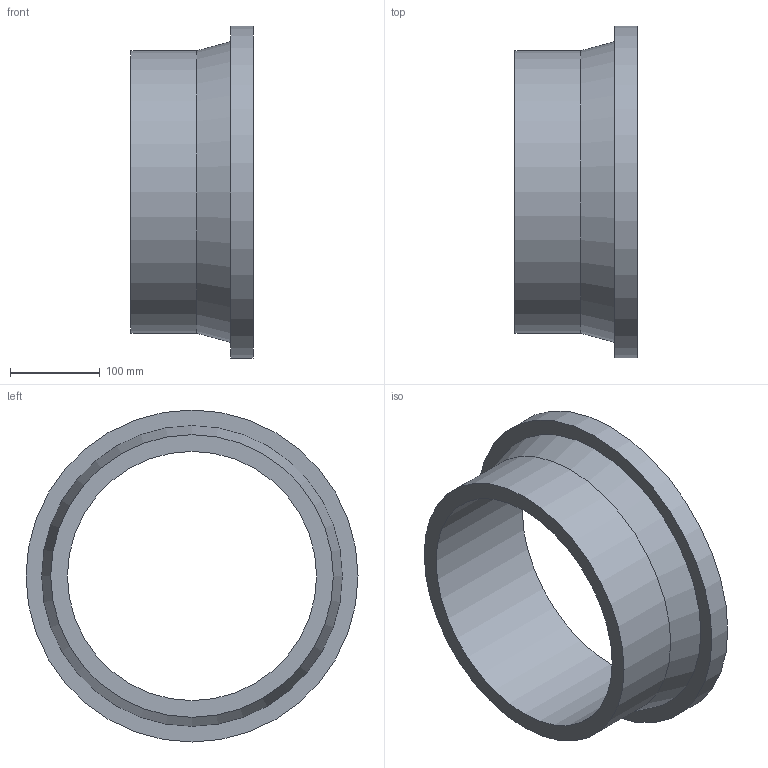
import cadquery as cq

total_length = 136.0
flange_thickness = 25.0
pipe_length = 73.5

bore_diameter = 277.6
pipe_diameter = 315.0
cone_end_diameter = 335.0
flange_diameter = 370.0

bore_radius = bore_diameter / 2
pipe_radius = pipe_diameter / 2
cone_end_radius = cone_end_diameter / 2
flange_radius = flange_diameter / 2
flange_start = total_length - flange_thickness


def stub_flange():
    """Revolve the wall section (X along the axis, Y as radius) about the X axis."""
    wall_section = (
        cq.Workplane("XY")
        .moveTo(0, bore_radius)
        .lineTo(0, pipe_radius)
        .lineTo(pipe_length, pipe_radius)
        .lineTo(flange_start, cone_end_radius)
        .lineTo(flange_start, flange_radius)
        .lineTo(total_length, flange_radius)
        .lineTo(total_length, bore_radius)
        .close()
    )
    return wall_section.revolve(360, (0, 0, 0), (1, 0, 0))


result = stub_flange()